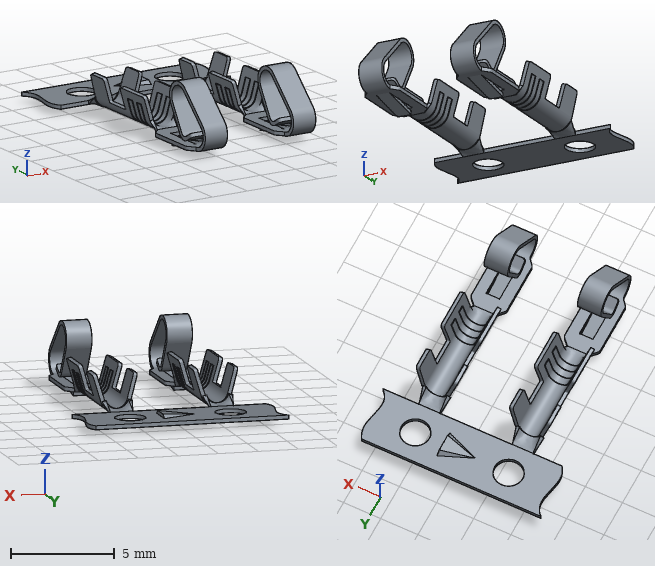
import cadquery as cq
import math


OVERALL_LENGTH = 13.5
SHEET = 0.2
PITCH = 5.02

STRIP_WIDTH = 2.97
PILOT_DIAMETER = 1.5
STRIP_LENGTH = 10.0
STRIP_END_WAVE = [(4.65, 0.74), (4.85, -0.49), (4.65, -1.48)]

ARROW_TIP_X = -0.72
ARROW_LENGTH = 1.71
ARROW_FOOT_HALF = 0.7
ARROW_TOP_HALF = 0.46
ARROW_HEIGHT = 0.18
ARROW_TIP_SCALE = 0.02

INSULATION_START = 0.82
INSULATION_END = 2.13
WIRE_START = 3.55
WIRE_END = 5.74
PLATE_START = 6.1
PLATE_WIDE_START = 6.52
PLATE_WIDE_END = 9.32
PLATE_END = 9.7

CHANNEL_RADIUS = 0.78
ARM_LEAN = 16.0
INSULATION_ARM = 1.32
WIRE_ARM = 1.27
LINK_ARM = 0.05
INSULATION_DRAFT = 0.11
ARM_CORNER_RADIUS = 0.16
LINK_CORNER_RADIUS = 0.05
NECK_WIDTH = 1.13
TERMINAL_OFFSET = 0.07

SERRATIONS = [(4.02, 4.44), (4.85, 5.22)]
SERRATION_DEPTH = 0.04
SERRATION_ARM = 0.77

PLATE_WIDTH = 1.92
PLATE_CORNER_RADIUS = 0.19
TONGUE_WIDTH = 0.73
WINDOW_START = 6.98
TONGUE_HINGE = 9.25
TONGUE_TIP = 7.06
TONGUE_DROP = 0.39

SPRING_WIDTH = 1.27
SPRING_HEIGHT = 3.1
FRONT_BEND_RADIUS = OVERALL_LENGTH - STRIP_WIDTH - PLATE_END
FRONT_BEND = (-PLATE_END, FRONT_BEND_RADIUS)
TOP_BEND_RADIUS = 0.84
TOP_BEND = (-8.14, SPRING_HEIGHT - TOP_BEND_RADIUS)
CONTACT_BEND_RADIUS = 0.46
CONTACT_BEND = (-8.63, 0.73)
PLATE_HEADING = 180.0
SPRING_TAIL = 0.54
SPRING_TAIL_HEADING = -210.0
SPRING_TAIL_CORNER_RADIUS = 0.16


def polar(center, radius, degrees):
    angle = math.radians(degrees)
    return (center[0] + radius * math.cos(angle), center[1] + radius * math.sin(angle))


def tangent_heading(center_a, radius_a, center_b, radius_b):
    """Direction in degrees of the straight that leaves circle a and joins circle b, both on its right."""
    along = center_b[0] - center_a[0]
    across = center_b[1] - center_a[1]
    swing = math.asin((radius_a - radius_b) / math.hypot(along, across))
    return math.degrees(math.atan2(across, along) - swing)


def round_corner(sheet, middle_of_edge, radius):
    """Round the sheet corner whose short edge is centred nearest to the given point."""
    return sheet.edges(cq.selectors.NearestToPointSelector(middle_of_edge)).fillet(radius)



def arrow_section(scale):
    """Trapezoid across the arrow, standing on top of the strip."""
    x = ARROW_TIP_X + scale * ARROW_LENGTH
    y = STRIP_WIDTH / 2
    foot = scale * ARROW_FOOT_HALF
    top = scale * ARROW_TOP_HALF
    z = SHEET + scale * ARROW_HEIGHT
    corners = [(x, y - foot, SHEET), (x, y + foot, SHEET), (x, y + top, z), (x, y - top, z)]
    return cq.Wire.makePolygon([cq.Vector(*corner) for corner in corners], close=True)


def make_strip():
    half = STRIP_WIDTH / 2
    left_wave = [(-x, y) for x, y in STRIP_END_WAVE]
    right_wave = [(x, -y) for x, y in STRIP_END_WAVE]
    strip = (
        cq.Workplane("XY", origin=(0, half, 0))
        .moveTo(-STRIP_LENGTH / 2, half)
        .spline(left_wave, includeCurrent=True)
        .lineTo(STRIP_LENGTH / 2, -half)
        .spline(right_wave, includeCurrent=True)
        .close()
        .extrude(SHEET)
    )
    holes = (
        cq.Workplane("XY", origin=(0, half, 0))
        .pushPoints([(-PITCH / 2, 0), (PITCH / 2, 0)])
        .circle(PILOT_DIAMETER / 2)
        .extrude(SHEET)
    )
    arrow = cq.Solid.makeLoft([arrow_section(ARROW_TIP_SCALE), arrow_section(1.0)], True)
    return strip.cut(holes).union(cq.Workplane(arrow))



TROUGH_CENTER = (0, CHANNEL_RADIUS)


def trough_outline(station, outside, inside, arm=0.0):
    """Closed U section with optional straight arms, in the plane across the terminal."""
    bottom = -90.0
    right_end = -ARM_LEAN
    left_end = ARM_LEAN - 180.0

    def side_point(radius, end, length):
        up_the_arm = end + 90.0 if end == right_end else end - 90.0
        return polar(polar(TROUGH_CENTER, radius, end), length, up_the_arm)

    outline = (
        cq.Workplane("XZ", origin=(0, -station, 0))
        .moveTo(*side_point(outside, left_end, 0))
        .threePointArc(polar(TROUGH_CENTER, outside, bottom), side_point(outside, right_end, 0))
    )
    if arm:
        outline = outline.lineTo(*side_point(outside, right_end, arm))
        outline = outline.lineTo(*side_point(inside, right_end, arm))
    outline = (
        outline.lineTo(*side_point(inside, right_end, 0))
        .threePointArc(polar(TROUGH_CENTER, inside, bottom), side_point(inside, left_end, 0))
    )
    if arm:
        outline = outline.lineTo(*side_point(inside, left_end, arm))
        outline = outline.lineTo(*side_point(outside, left_end, arm))
    return outline.close()


def flat_outline(station):
    """Flat sheet section, ordered like the trough section."""
    return (
        cq.Workplane("XZ", origin=(0, -station, 0))
        .moveTo(-NECK_WIDTH / 2, 0)
        .lineTo(NECK_WIDTH / 2, 0)
        .lineTo(NECK_WIDTH / 2, SHEET)
        .lineTo(-NECK_WIDTH / 2, SHEET)
        .close()
    )


def make_transition(flat_station, trough_station):
    flat = flat_outline(flat_station)
    trough = trough_outline(trough_station, CHANNEL_RADIUS, CHANNEL_RADIUS - SHEET)
    return cq.Workplane(cq.Solid.makeLoft([flat.val(), trough.val()], True))


def make_arm():
    """Both wings on the +X side and the low link between them, as one leaning plate."""
    edge_x, edge_z = polar(TROUGH_CENTER, CHANNEL_RADIUS, -ARM_LEAN)
    lean = math.radians(ARM_LEAN)
    wall = cq.Plane(
        origin=(edge_x, 0, edge_z),
        xDir=(0, -1, 0),
        normal=(-math.cos(lean), 0, math.sin(lean)),
    )
    outline = [
        (INSULATION_START, 0),
        (INSULATION_START + INSULATION_DRAFT, INSULATION_ARM),
        (INSULATION_END, INSULATION_ARM),
        (INSULATION_END, LINK_ARM),
        (WIRE_START, LINK_ARM),
        (WIRE_START, WIRE_ARM),
        (WIRE_END, WIRE_ARM),
        (WIRE_END, 0),
    ]
    plate = cq.Workplane(wall).polyline(outline).close().extrude(SHEET)

    for corner in outline[1:-1]:
        radius = LINK_CORNER_RADIUS if corner[1] == LINK_ARM else ARM_CORNER_RADIUS
        middle_of_edge = wall.toWorldCoords((*corner, SHEET / 2)).toTuple()
        plate = round_corner(plate, middle_of_edge, radius)
    return plate


def make_crimp():
    inside = CHANNEL_RADIUS - SHEET
    trough = trough_outline(INSULATION_START, CHANNEL_RADIUS, inside).extrude(WIRE_END - INSULATION_START)
    arm = make_arm()
    opposite_arm = arm.mirror("YZ")
    crimp = trough.union(arm).union(opposite_arm)
    for start, end in SERRATIONS:
        groove = trough_outline(start, CHANNEL_RADIUS, CHANNEL_RADIUS - SERRATION_DEPTH, SERRATION_ARM)
        ridge = trough_outline(start, inside, inside - SERRATION_DEPTH, SERRATION_ARM)
        crimp = crimp.cut(groove.extrude(end - start)).union(ridge.extrude(end - start))
    return crimp



def make_plate():
    half_profile = [
        (NECK_WIDTH / 2, -PLATE_START),
        (PLATE_WIDTH / 2, -PLATE_WIDE_START),
        (PLATE_WIDTH / 2, -PLATE_WIDE_END),
        (SPRING_WIDTH / 2, -PLATE_END),
    ]
    other_half = [(-x, y) for x, y in reversed(half_profile)]
    plate = (
        cq.Workplane("XY")
        .polyline(half_profile + other_half)
        .close()
        .extrude(SHEET)
    )
    for x in (-PLATE_WIDTH / 2, PLATE_WIDTH / 2):
        for station in (PLATE_WIDE_START, PLATE_WIDE_END):
            plate = round_corner(plate, (x, -station, SHEET / 2), PLATE_CORNER_RADIUS)
    window_length = TONGUE_HINGE - WINDOW_START
    window = (
        cq.Workplane("XY")
        .center(0, -WINDOW_START - window_length / 2)
        .rect(TONGUE_WIDTH, window_length)
        .extrude(SHEET)
    )
    return plate.cut(window)


def extrude_side_outline(outline, width):
    """Extrude a closed outline in Y and Z symmetrically about the terminal axis."""
    return outline.extrude(width / 2, both=True)


def make_tongue():
    hinge = (-TONGUE_HINGE, 0)
    slope = math.degrees(math.atan2(TONGUE_DROP, TONGUE_HINGE - TONGUE_TIP))
    tip_bottom = (-TONGUE_TIP - SHEET * math.sin(math.radians(slope)), -TONGUE_DROP)
    tip_top = polar(tip_bottom, SHEET, 90.0 - slope)
    outline = (
        cq.Workplane("YZ")
        .polyline([hinge, tip_bottom, tip_top, (-TONGUE_HINGE, SHEET)])
        .close()
    )
    return extrude_side_outline(outline, TONGUE_WIDTH)


def make_spring():
    """Sheet that leaves the plate, loops up and back, and ends above the plate."""
    headings = [
        PLATE_HEADING,
        tangent_heading(FRONT_BEND, FRONT_BEND_RADIUS, TOP_BEND, TOP_BEND_RADIUS),
        tangent_heading(TOP_BEND, TOP_BEND_RADIUS, CONTACT_BEND, CONTACT_BEND_RADIUS),
        SPRING_TAIL_HEADING,
    ]
    bends = [
        (FRONT_BEND, FRONT_BEND_RADIUS),
        (TOP_BEND, TOP_BEND_RADIUS),
        (CONTACT_BEND, CONTACT_BEND_RADIUS),
    ]
    arcs = [
        (center, radius, headings[i] + 90.0, headings[i + 1] + 90.0)
        for i, (center, radius) in enumerate(bends)
    ]
    tail_normal = SPRING_TAIL_HEADING + 90.0
    tail_start = polar(CONTACT_BEND, CONTACT_BEND_RADIUS, tail_normal)
    outer_tail = polar(tail_start, SPRING_TAIL, SPRING_TAIL_HEADING)
    inner_tail = polar(outer_tail, -SHEET, tail_normal)

    outline = cq.Workplane("YZ").moveTo(-PLATE_END, SHEET)
    for center, radius, start, end in arcs:
        outline = outline.lineTo(*polar(center, radius, start))
        outline = outline.threePointArc(
            polar(center, radius, (start + end) / 2), polar(center, radius, end)
        )
    outline = outline.lineTo(*outer_tail).lineTo(*inner_tail)
    for center, radius, start, end in reversed(arcs):
        inner = radius - SHEET
        outline = outline.lineTo(*polar(center, inner, end))
        outline = outline.threePointArc(
            polar(center, inner, (start + end) / 2), polar(center, inner, start)
        )
    spring = extrude_side_outline(outline.close(), SPRING_WIDTH)

    tail_tip = polar(outer_tail, -SHEET / 2, tail_normal)
    for x in (-SPRING_WIDTH / 2, SPRING_WIDTH / 2):
        spring = round_corner(spring, (x, *tail_tip), SPRING_TAIL_CORNER_RADIUS)
    return spring



def make_terminal(hole_x):
    """One terminal; its neck is in line with the pilot hole at hole_x."""
    neck = make_transition(0, INSULATION_START).translate((-TERMINAL_OFFSET, 0, 0))
    throat = make_transition(PLATE_START, WIRE_END)
    terminal = neck.union(make_crimp()).union(throat).union(make_plate())
    terminal = terminal.union(make_tongue()).union(make_spring())
    return terminal.translate((hole_x + TERMINAL_OFFSET, 0, 0))


strip = make_strip()
terminals = [make_terminal(hole_x) for hole_x in (-PITCH / 2, PITCH / 2)]

result = cq.Compound.makeCompound([strip.val()] + [terminal.val() for terminal in terminals])